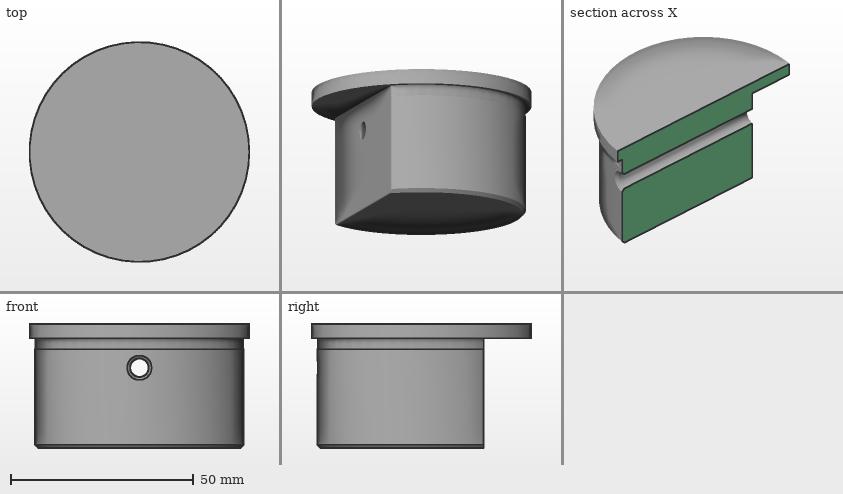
import cadquery as cq

TOTAL_HEIGHT = 34.0
CAP_DIAMETER = 60.3
CAP_THICKNESS = 4.0
BODY_DIAMETER = 57.3
NECK_DIAMETER = 57.0
NECK_HEIGHT = 3.0
BOTTOM_CHAMFER = 0.95

FLAT_OFFSET = 17.1
FLAT_SIDE_FILLET = 1.1
FLAT_BOTTOM_FILLET = 0.3

HOLE_DIAMETER = 5.0
HOLE_DEPTH_BELOW_TOP = 12.0
HOLE_CHAMFER = 0.85

PLUG_HEIGHT = TOTAL_HEIGHT - CAP_THICKNESS
NECK_BOTTOM = PLUG_HEIGHT - NECK_HEIGHT
HOLE_HEIGHT = TOTAL_HEIGHT - HOLE_DEPTH_BELOW_TOP


def make_plug():
    """Round plug with a chamfered bottom rim and a rounded-off flat facing +Y."""
    plug = cq.Workplane("XY").circle(BODY_DIAMETER / 2).extrude(PLUG_HEIGHT)
    plug = plug.faces("<Z").chamfer(BOTTOM_CHAMFER)
    beyond_flat = cq.Workplane("XY", origin=(0, FLAT_OFFSET, 0)).box(
        CAP_DIAMETER, CAP_DIAMETER, TOTAL_HEIGHT, centered=(True, False, False)
    )
    plug = plug.cut(beyond_flat)
    plug = plug.edges("|Z").edges(">Y").fillet(FLAT_SIDE_FILLET)
    return plug.faces("<Z").edges(">Y").fillet(FLAT_BOTTOM_FILLET)


def turn_neck(plug):
    """Turn the top of the plug down to the slightly smaller neck diameter."""
    ring = (
        cq.Workplane("XY", origin=(0, 0, NECK_BOTTOM))
        .circle(CAP_DIAMETER / 2)
        .circle(NECK_DIAMETER / 2)
        .extrude(NECK_HEIGHT)
    )
    return plug.cut(ring)


def drill_cross_hole(plug):
    """Drill right through along Y and chamfer the mouth on the -Y side."""
    drill = (
        cq.Workplane("XZ", origin=(0, CAP_DIAMETER / 2, HOLE_HEIGHT))
        .circle(HOLE_DIAMETER / 2)
        .extrude(CAP_DIAMETER)
    )
    mouth = cq.selectors.BoxSelector(
        (-HOLE_DIAMETER, -CAP_DIAMETER / 2, HOLE_HEIGHT - HOLE_DIAMETER / 2),
        (HOLE_DIAMETER, -FLAT_OFFSET, HOLE_HEIGHT + HOLE_DIAMETER / 2),
    )
    return plug.cut(drill).edges(mouth).chamfer(HOLE_CHAMFER)


plug = drill_cross_hole(turn_neck(make_plug()))
cap = cq.Workplane("XY", origin=(0, 0, PLUG_HEIGHT)).circle(CAP_DIAMETER / 2).extrude(CAP_THICKNESS)

result = plug.union(cap)